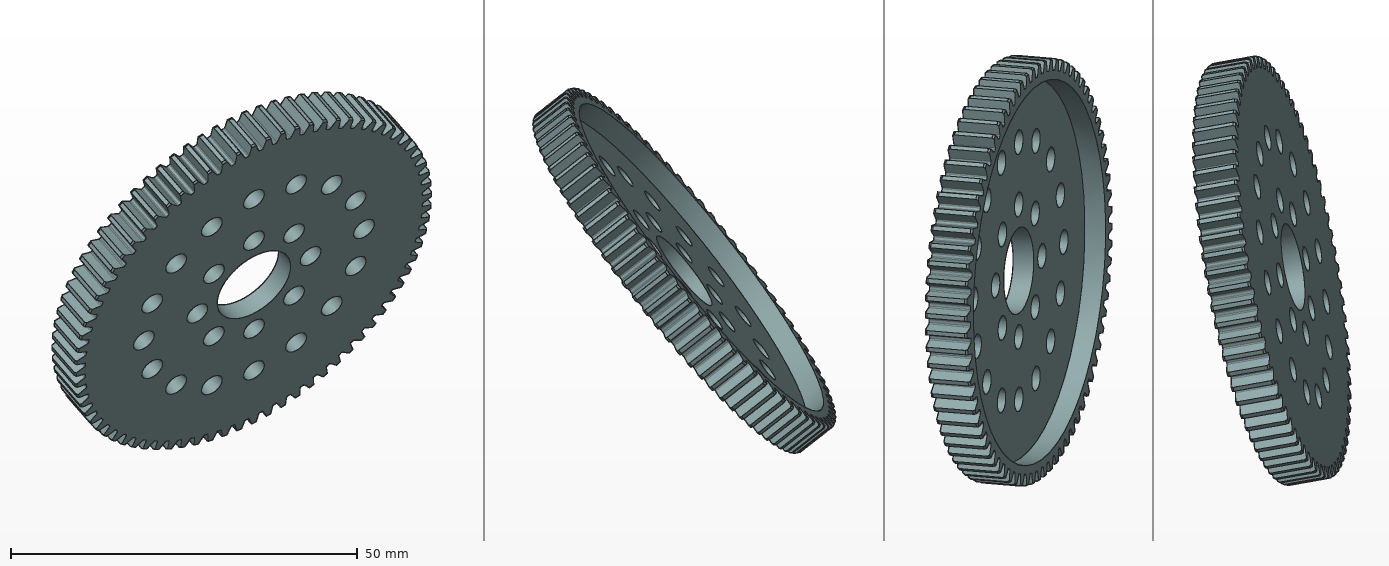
import cadquery as cq
import math

outer_diameter = 61.9
tooth_count = 76
tooth_height = 1.75
tip_width = 0.7
root_width = 1.75
face_width = 6.4
tip_chamfer_length = 0.3
tip_chamfer_depth = 0.2
root_fillet = 0.2
recess_diameter = 55.95
bore_diameter = 12.7
bolt_hole_diameter = 3.6
inner_ring_diameter = 19.6
inner_ring_holes = 8
outer_ring_diameter = 38.15
outer_ring_holes = 16

tip_radius = outer_diameter / 2
root_radius = tip_radius - tooth_height
middle_radius = tip_radius - tooth_height / 2
tooth_pitch_angle = 2 * math.pi / tooth_count
recess_depth = face_width / 2
tip_allowance = tooth_height / 10


def polar(radius, angle):
    return (radius * math.cos(angle), radius * math.sin(angle))


def flank_point(radius, centre_angle, side):
    """Point on a straight flank, which narrows evenly from the root circle to the tip circle."""
    share_of_height = (radius - root_radius) / (tip_radius - root_radius)
    width = root_width + (tip_width - root_width) * share_of_height
    return polar(radius, centre_angle + side * math.asin(width / 2 / radius))


def toothed_prism():
    """Full-width toothed prism with filleted roots; tooth tips are left long."""
    flank_end = tip_radius + tip_allowance
    outline = cq.Workplane("YZ").moveTo(*flank_point(root_radius, 0, -1))
    for tooth in range(tooth_count):
        centre = tooth * tooth_pitch_angle
        next_centre = centre + tooth_pitch_angle
        outline = (
            outline
            .lineTo(*flank_point(flank_end, centre, -1))
            .lineTo(*flank_point(flank_end, centre, 1))
            .lineTo(*flank_point(root_radius, centre, 1))
            .threePointArc(
                polar(root_radius, centre + tooth_pitch_angle / 2),
                flank_point(root_radius, next_centre, -1),
            )
        )
    prism = outline.close().extrude(face_width)
    root_edges = [
        edge for edge in prism.edges("|X").vals()
        if math.hypot(edge.Center().y, edge.Center().z) < middle_radius
    ]
    return prism.newObject(root_edges).fillet(root_fillet)


def gear_blank():
    """Disc whose chamfered rim trims the tooth tips at both ends."""
    rim_radius = tip_radius - tip_chamfer_depth
    return (
        cq.Workplane("XY")
        .lineTo(0, rim_radius)
        .lineTo(tip_chamfer_length, tip_radius)
        .lineTo(face_width - tip_chamfer_length, tip_radius)
        .lineTo(face_width, rim_radius)
        .lineTo(face_width, 0)
        .close()
        .revolve(360, (0, 0, 0), (1, 0, 0))
    )


def bolt_holes(ring_diameter, count):
    return (
        cq.Workplane("YZ")
        .polarArray(ring_diameter / 2, 0, 360, count)
        .circle(bolt_hole_diameter / 2)
        .extrude(face_width)
    )


gear = gear_blank().intersect(toothed_prism())

recess = cq.Workplane("YZ").circle(recess_diameter / 2).extrude(recess_depth)
bore = cq.Workplane("YZ").circle(bore_diameter / 2).extrude(face_width)

result = (
    gear
    .cut(recess)
    .cut(bore)
    .cut(bolt_holes(inner_ring_diameter, inner_ring_holes))
    .cut(bolt_holes(outer_ring_diameter, outer_ring_holes))
)